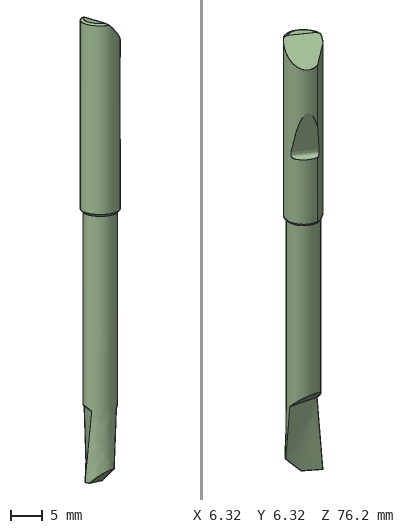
import cadquery as cq
import math

shank_radius = 3.16
total_length = 76.2
shank_bottom = 44.4
top_bevel_radial = 0.5
top_bevel_height = 0.2
bottom_bevel = 0.45
flat_normal_angle = 150.0
flat_distance = 2.79
end_slope_start_y = -1.15
notch_bottom = 56.15
notch_depth = 1.2
notch_slope_length = 7.1
notch_height = 8.1
notch_corner_radius = 0.6

neck_radius = 2.75
head_top = 12.2
rake_slope_angle = 42.0
ledge_slope_angle = 35.0

rake_angle_top = 25.0
flank_angle_top = -73.5
rake_angle_bottom = 0.0
flank_angle_bottom = -97.0
tip_radius = 3.16
back_radius = 3.05
tip_relief_angle = 4.0
tip_dish_angle = 2.0
corner_start_x = 0.4
corner_bevel_angle = 44.0

cutter_size = 3 * shank_radius


def polar(radius, angle):
    radians = math.radians(angle)
    return radius * math.cos(radians), radius * math.sin(radians)


def space_beyond(origin, normal, x_direction):
    """Block filling the space on the outer side of a plane."""
    plane = cq.Plane(origin=origin, xDir=x_direction, normal=normal)
    return cq.Workplane(plane).rect(2 * cutter_size, 2 * cutter_size).extrude(cutter_size)


def make_shank():
    profile = [
        (0, shank_bottom),
        (shank_radius - bottom_bevel, shank_bottom),
        (shank_radius, shank_bottom + bottom_bevel),
        (shank_radius, total_length - top_bevel_height),
        (shank_radius - top_bevel_radial, total_length),
        (0, total_length),
    ]
    shank = cq.Workplane("XZ").polyline(profile).close().revolve(360, (0, 0), (0, 1))

    flat_x, flat_y = polar(flat_distance, flat_normal_angle)
    flat_middle = (shank_bottom + total_length) / 2
    flat_length = total_length - shank_bottom
    flat_plane = cq.Plane((flat_x, flat_y, flat_middle), (0, 0, 1), (flat_x, flat_y, 0))
    shank = shank.cut(cq.Workplane(flat_plane).rect(flat_length, cutter_size).extrude(cutter_size))

    shank = shank.cut(space_beyond((0, end_slope_start_y, total_length), (0, 1, 1), (1, 0, 0)))
    return shank.cut(make_notch())


def make_notch():
    """Sideways notch with a rounded lower corner and a long run-out above."""
    floor_y = shank_radius - notch_depth
    slope_start = notch_bottom + notch_height - notch_slope_length
    return (
        cq.Workplane("YZ")
        .moveTo(shank_radius, notch_bottom)
        .lineTo(floor_y + notch_corner_radius, notch_bottom)
        .radiusArc((floor_y, notch_bottom + notch_corner_radius), notch_corner_radius)
        .lineTo(floor_y, slope_start)
        .lineTo(shank_radius, notch_bottom + notch_height)
        .close()
        .extrude(shank_radius, both=True)
    )


def make_neck():
    neck = cq.Workplane("XY").workplane(offset=head_top)
    neck = neck.circle(neck_radius).extrude(shank_bottom - head_top)

    across = polar(1, rake_angle_top)
    outward = polar(math.sin(math.radians(rake_slope_angle)), rake_angle_top + 90)
    drop = -math.cos(math.radians(rake_slope_angle))
    neck = neck.cut(space_beyond((0, 0, head_top), (*outward, drop), (*across, 0)))

    tip_angle = rake_angle_top - 180
    edge_angle = (tip_angle + flank_angle_top) / 2
    edge_distance = neck_radius * math.cos(math.radians((flank_angle_top - tip_angle) / 2))
    edge = polar(edge_distance, edge_angle)
    across = polar(1, edge_angle + 90)
    outward = polar(math.sin(math.radians(ledge_slope_angle)), edge_angle)
    drop = -math.cos(math.radians(ledge_slope_angle))
    return neck.cut(space_beyond((*edge, head_top), (*outward, drop), (*across, 0)))


def head_section(height, rake_angle, flank_angle, tip_reach, back_reach):
    """Section bounded by the straight rake, the straight flank and a round back."""
    back_middle = polar(back_reach, (rake_angle + flank_angle) / 2)
    return (
        cq.Workplane("XY")
        .workplane(offset=height)
        .moveTo(*polar(tip_reach, rake_angle - 180))
        .lineTo(*polar(back_reach, flank_angle))
        .threePointArc(back_middle, polar(back_reach, rake_angle))
        .close()
        .val()
    )


def make_head():
    bottom = head_section(0, rake_angle_bottom, flank_angle_bottom, tip_radius, back_radius)
    top = head_section(head_top, rake_angle_top, flank_angle_top, neck_radius, neck_radius)
    head = cq.Workplane(cq.Solid.makeLoft([bottom, top], True))

    dish = math.tan(math.radians(tip_dish_angle))
    relief = math.tan(math.radians(tip_relief_angle))
    head = head.cut(space_beyond((-tip_radius, 0, 0), (dish, -relief, -1), (1, 0, dish)))

    bevel_rise = math.tan(math.radians(corner_bevel_angle))
    corner_z = (corner_start_x + tip_radius) * dish
    bevel_origin = (corner_start_x, 0, corner_z)
    return head.cut(space_beyond(bevel_origin, (bevel_rise, 0, -1), (0, 1, 0)))


result = make_shank().union(make_neck()).union(make_head())